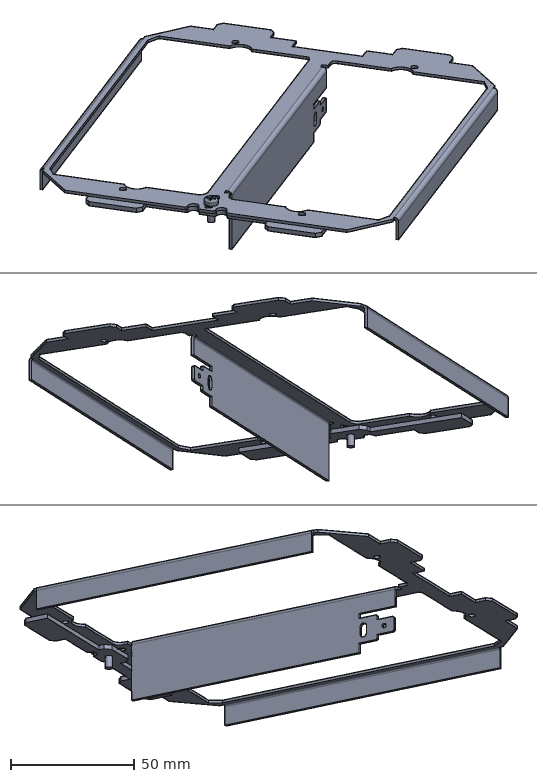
import cadquery as cq
import math

SHEET = 1.2
BEND_OUTER = 1.8
BEND_INNER = BEND_OUTER - SHEET
BEND_LAP = 1.0
CUT_DEPTH = 50.0

FLANGE_OUTER_X = 76.5
PLATE_HALF_X = FLANGE_OUTER_X - BEND_OUTER
PLATE_HALF_Y = 81.7
CORNER_X = 60.1
CORNER_Y = 66.5
END_RECESS_HALF_X = 15.0
END_RECESS_Y = 76.3

TAB_INNER_X = 26.1
TAB_OUTER_X = 50.3
TAB_CHAMFER = 2.0
FRAME_TAB_Y = 88.5
OVERALL_Y = 175.0
SLIDER_TAB_Y = FRAME_TAB_Y - OVERALL_Y

BAR_HALF_X = 4.5
WINDOW_OUTER_X = 72.4
WINDOW_HALF_Y = 68.75
WINDOW_CORNER_X = 3.0
WINDOW_CORNER_Y = 5.0
FAR_FILLET = 2.0
NEAR_FILLET = 3.5
BUMP_X = 34.4
BUMP_RADIUS = 5.2
BUMP_DEPTH = 2.9
SMALL_HOLE_X = 38.2
SMALL_HOLE_Y = 73.1
SMALL_HOLE_D = 2.8

SIDE_FLANGE_HALF_Y = 64.5
SIDE_FLANGE_BOTTOM = -9.8
MID_FLANGE_HALF_Y = 61.75
MID_FLANGE_BOTTOM = -26.0
RELIEF_X = 2.0
RELIEF_WIDTH = 1.8

FLANGE_STEP_Z = -9.0
LOWER_EDGE_Y = 45.0
TONGUE_ROOT_Y = 53.5
TONGUE_TIP_Y = 61.3
TONGUE_Z = -16.5
TONGUE_ROOT_WIDTH = 10.8
TONGUE_TIP_WIDTH = 6.5
TONGUE_CHAMFER = 0.6
TONGUE_HOLE_Y = 56.7
TONGUE_HOLE_D = 1.8
TONGUE_SLOT_Y = 46.9
TONGUE_SLOT_WIDTH = 3.0
TONGUE_SLOT_LENGTH = 6.0

SCREW_Y = -75.0
SHANK_D = 3.0
SCREW_LENGTH = 8.0
HEAD_D = 5.8
HEAD_HEIGHT = 2.39
HEAD_FILLET = 0.9
CROSS_LENGTH = 3.4
CROSS_WIDTH = 0.6
CROSS_DEPTH = 1.2
SLOT_WIDTH = 3.1
SLOT_LENGTH = 12.4
SLOT_Y = -73.5
NOTCH_X = 6.0
NOTCH_WIDTH = 4.5
NOTCH_TOP_Y = -77.4
FRAME_NOTCH_FLARE = 0.8
SLIDER_NOTCH_FLARE = 0.5

SLIDER_THICKNESS = 1.9
SLIDER_BACK_Y = -74.6
SLIDER_FRONT_Y = -80.2
BOSS_BACK_Y = -69.7
BOSS_HALF_X = 8.8
BOSS_CHAMFER = 2.4


def plate(points, top, thickness):
    """Flat plate with the given outline, its upper face at z = top."""
    return cq.Workplane("XY").workplane(offset=top - thickness).polyline(points).close().extrude(thickness)


def through_cut(sketch):
    """Solid for a cut through the whole height from closed wires on XY."""
    return sketch.extrude(CUT_DEPTH, both=True)


def mirrored(points):
    """Outline symmetric about the YZ plane, from its +X half."""
    return points + [(-x, y) for x, y in reversed(points)]


def screw_notches(mouth_y, flare):
    """Round-ended edge notches on both sides of the screw, flared where they open."""
    half = NOTCH_WIDTH / 2
    cutter = cq.Workplane("XY")
    for x in (-NOTCH_X, NOTCH_X):
        shape = (
            cq.Workplane("XY")
            .moveTo(x - half - flare, mouth_y)
            .lineTo(x - half, mouth_y + flare)
            .lineTo(x - half, NOTCH_TOP_Y - half)
            .threePointArc((x, NOTCH_TOP_Y), (x + half, NOTCH_TOP_Y - half))
            .lineTo(x + half, mouth_y + flare)
            .lineTo(x + half + flare, mouth_y)
            .close()
        )
        cutter = cutter.add(through_cut(shape))
    return cutter.combine()


def bent_flange(outer_x, bottom, half_y):
    """Bend and hanging wall facing +X, with a short flat strip lapping into the plate."""
    bend_x = outer_x - BEND_OUTER
    inner_x = outer_x - SHEET
    diagonal = math.sqrt(0.5)
    return (
        cq.Workplane("XZ", origin=(0, half_y, 0))
        .moveTo(bend_x - BEND_LAP, 0)
        .lineTo(bend_x, 0)
        .threePointArc(
            (bend_x + BEND_OUTER * diagonal, -BEND_OUTER + BEND_OUTER * diagonal), (outer_x, -BEND_OUTER)
        )
        .lineTo(outer_x, bottom)
        .lineTo(inner_x, bottom)
        .lineTo(inner_x, -BEND_OUTER)
        .threePointArc(
            (bend_x + BEND_INNER * diagonal, -BEND_OUTER + BEND_INNER * diagonal), (bend_x, -SHEET)
        )
        .lineTo(bend_x - BEND_LAP, -SHEET)
        .close()
        .extrude(2 * half_y)
    )


def frame_outline():
    """Outer edge of the flat frame with two tabs at the +Y end."""
    return mirrored([
        (CORNER_X, -PLATE_HALF_Y),
        (PLATE_HALF_X, -CORNER_Y),
        (PLATE_HALF_X, CORNER_Y),
        (CORNER_X, PLATE_HALF_Y),
        (TAB_OUTER_X, PLATE_HALF_Y),
        (TAB_OUTER_X, FRAME_TAB_Y - TAB_CHAMFER),
        (TAB_OUTER_X - TAB_CHAMFER, FRAME_TAB_Y),
        (TAB_INNER_X + TAB_CHAMFER, FRAME_TAB_Y),
        (TAB_INNER_X, FRAME_TAB_Y - TAB_CHAMFER),
        (TAB_INNER_X, PLATE_HALF_Y),
        (END_RECESS_HALF_X, PLATE_HALF_Y),
        (END_RECESS_HALF_X, END_RECESS_Y),
    ])


def window():
    """Window on the +X side, with a shallow round bump in each end edge."""
    opening = through_cut(
        cq.Workplane("XY").polyline([
            (BAR_HALF_X, -WINDOW_HALF_Y),
            (WINDOW_OUTER_X - WINDOW_CORNER_X, -WINDOW_HALF_Y),
            (WINDOW_OUTER_X, -WINDOW_HALF_Y + WINDOW_CORNER_Y),
            (WINDOW_OUTER_X, WINDOW_HALF_Y - WINDOW_CORNER_Y),
            (WINDOW_OUTER_X - WINDOW_CORNER_X, WINDOW_HALF_Y),
            (BAR_HALF_X, WINDOW_HALF_Y),
        ]).close()
    )
    bar_corners = opening.edges("|Z").edges("<X")
    opening = bar_corners.edges(">Y").fillet(FAR_FILLET)
    opening = opening.edges("|Z").edges("<Y").edges("<X").fillet(NEAR_FILLET)
    bump_y = WINDOW_HALF_Y + BUMP_DEPTH - BUMP_RADIUS
    bumps = through_cut(
        cq.Workplane("XY").pushPoints([(BUMP_X, -bump_y), (BUMP_X, bump_y)]).circle(BUMP_RADIUS)
    )
    return opening.union(bumps)


def middle_flange():
    """Wall hanging from the centre bar, stepped back at +Y below FLANGE_STEP_Z and ending in a tongue."""
    root_half = TONGUE_ROOT_WIDTH / 2
    tip_half = TONGUE_TIP_WIDTH / 2
    wall = bent_flange(BAR_HALF_X, MID_FLANGE_BOTTOM, MID_FLANGE_HALF_Y)
    step_height = FLANGE_STEP_Z - MID_FLANGE_BOTTOM
    step_length = MID_FLANGE_HALF_Y - LOWER_EDGE_Y
    step = cq.Workplane("XY").box(CUT_DEPTH, step_length, step_height, centered=(True, False, False))
    wall = wall.cut(step.translate((0, LOWER_EDGE_Y, MID_FLANGE_BOTTOM)))

    wall_plane = cq.Workplane("YZ", origin=(BAR_HALF_X - SHEET, 0, TONGUE_Z))
    root = wall_plane.center((LOWER_EDGE_Y + TONGUE_ROOT_Y) / 2, 0).rect(
        TONGUE_ROOT_Y - LOWER_EDGE_Y, 2 * root_half
    ).extrude(SHEET)
    tip = wall_plane.center((TONGUE_ROOT_Y + TONGUE_TIP_Y) / 2, 0).rect(
        TONGUE_TIP_Y - TONGUE_ROOT_Y, 2 * tip_half
    ).extrude(SHEET)
    root = root.edges("|X and >Y").chamfer(TONGUE_CHAMFER)
    tip = tip.edges("|X and >Y").chamfer(TONGUE_CHAMFER)
    hole = wall_plane.center(TONGUE_HOLE_Y, 0).circle(TONGUE_HOLE_D / 2).extrude(SHEET)
    slot = wall_plane.center(TONGUE_SLOT_Y, 0).slot2D(TONGUE_SLOT_LENGTH, TONGUE_SLOT_WIDTH, 90).extrude(SHEET)
    return wall.union(root).union(tip).cut(hole).cut(slot)


def bend_clearance():
    """Edge strip removed from the centre bar to make room for the bend and its two reliefs."""
    bend_x = BAR_HALF_X - BEND_OUTER
    strip = cq.Workplane("XY").center((bend_x + BAR_HALF_X) / 2, 0).rect(BEND_OUTER, 2 * MID_FLANGE_HALF_Y)
    relief_y = MID_FLANGE_HALF_Y + RELIEF_WIDTH / 2
    reliefs = (
        cq.Workplane("XY")
        .pushPoints([((RELIEF_X + BAR_HALF_X) / 2, -relief_y), ((RELIEF_X + BAR_HALF_X) / 2, relief_y)])
        .rect(BAR_HALF_X - RELIEF_X, RELIEF_WIDTH)
    )
    return through_cut(strip).union(through_cut(reliefs))


def build_frame():
    """Sheet frame with two windows, two side flanges and a middle flange."""
    right_window = window()
    small_holes = through_cut(
        cq.Workplane("XY").rect(2 * SMALL_HOLE_X, 2 * SMALL_HOLE_Y, forConstruction=True)
        .vertices().circle(SMALL_HOLE_D / 2)
    )
    screw_slot = through_cut(cq.Workplane("XY").center(0, SLOT_Y).slot2D(SLOT_LENGTH, SLOT_WIDTH, 90))
    body = plate(frame_outline(), 0, SHEET)
    for cutter in (right_window, right_window.mirror("YZ"), small_holes, screw_slot,
                   screw_notches(-PLATE_HALF_Y, FRAME_NOTCH_FLARE), bend_clearance()):
        body = body.cut(cutter)
    side_flange = bent_flange(FLANGE_OUTER_X, SIDE_FLANGE_BOTTOM, SIDE_FLANGE_HALF_Y)
    return body.union(side_flange).union(side_flange.mirror("YZ")).union(middle_flange())


def build_slider():
    """Locking plate under the frame with two tabs and a chamfered boss around the screw."""
    body = plate(mirrored([
        (TAB_INNER_X, SLIDER_FRONT_Y),
        (TAB_INNER_X, SLIDER_TAB_Y + TAB_CHAMFER),
        (TAB_INNER_X + TAB_CHAMFER, SLIDER_TAB_Y),
        (TAB_OUTER_X - TAB_CHAMFER, SLIDER_TAB_Y),
        (TAB_OUTER_X, SLIDER_TAB_Y + TAB_CHAMFER),
        (TAB_OUTER_X, SLIDER_BACK_Y),
        (BOSS_HALF_X, SLIDER_BACK_Y),
        (BOSS_HALF_X, BOSS_BACK_Y - BOSS_CHAMFER),
        (BOSS_HALF_X - BOSS_CHAMFER, BOSS_BACK_Y),
    ]), -SHEET, SLIDER_THICKNESS)
    screw_hole = through_cut(cq.Workplane("XY").center(0, SCREW_Y).circle(SHANK_D / 2))
    return body.cut(screw_hole).cut(screw_notches(SLIDER_FRONT_Y, SLIDER_NOTCH_FLARE))


def build_screw():
    """Cross-recessed screw with a rounded head seated on the frame."""
    base = cq.Workplane("XY").center(0, SCREW_Y)
    head = base.circle(HEAD_D / 2).extrude(HEAD_HEIGHT).faces(">Z").edges().fillet(HEAD_FILLET)
    shank = base.circle(SHANK_D / 2).extrude(-SCREW_LENGTH)
    recess_plane = base.workplane(offset=HEAD_HEIGHT - CROSS_DEPTH)
    for size in ((CROSS_LENGTH, CROSS_WIDTH), (CROSS_WIDTH, CROSS_LENGTH)):
        head = head.cut(recess_plane.rect(*size).extrude(CROSS_DEPTH))
    return head.union(shank)


frame = build_frame()
slider = build_slider()
screw = build_screw()

result = cq.Compound.makeCompound([frame.val(), slider.val(), screw.val()])